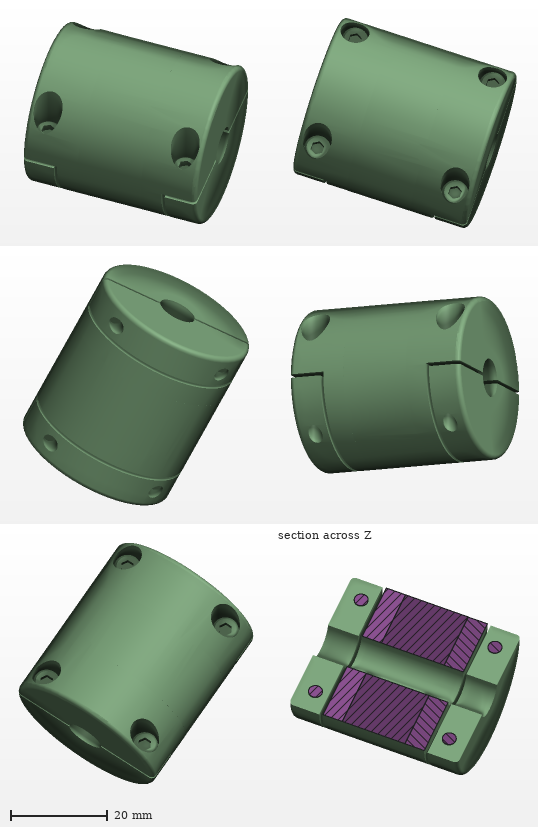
import cadquery as cq
import math


length = 38.0
outer_diameter = 34.0
outer_radius = outer_diameter / 2
bore_diameter = 8.0
bore_radius = bore_diameter / 2
rim_fillet = 1.0

sleeve_length = 14.0
half_sleeve = sleeve_length / 2
hub_length = (length - sleeve_length) / 2

lug_height = 1.82
lug_radius = 2.0
lug_root_radius = 1.25
lug_angles = (60, -60)

slit_width = 0.72
jaw_length = 6.85

screw_x = length / 2 - 3.95
screw_y = 12.25
shank_diameter = 3.0
counterbore_diameter = 6.0
counterbore_floor = 2.5
shank_length = 10.0
screw_end = counterbore_floor - shank_length
head_diameter = 5.5
head_height = 3.0
head_chamfer = 0.5
hex_across_flats = 2.5
hex_across_corners = hex_across_flats / math.cos(math.radians(30))
hex_depth = 1.5


def tube(start_x, tube_length):
    """A length of the outer cylinder with the bore through it."""
    return (
        cq.Workplane("YZ", origin=(start_x, 0, 0))
        .circle(outer_radius)
        .circle(bore_radius)
        .extrude(tube_length)
    )


def rounded_lug(angle):
    """A radial bar on the left hub's inner face, blended into it by concave arcs."""
    crest_centre = lug_height - lug_radius
    lean = math.acos((lug_root_radius - crest_centre) / (lug_radius + lug_root_radius))
    half_width = (lug_radius + lug_root_radius) * math.sin(lean)
    blend_height = crest_centre + lug_radius * math.cos(lean)
    blend_offset = lug_radius * math.sin(lean)
    root_mid_height = lug_root_radius * (1 - math.cos(lean / 2))
    root_mid_offset = half_width - lug_root_radius * math.sin(lean / 2)
    return (
        cq.Workplane("XY")
        .moveTo(0, -half_width)
        .threePointArc((root_mid_height, -root_mid_offset), (blend_height, -blend_offset))
        .threePointArc((lug_height, 0), (blend_height, blend_offset))
        .threePointArc((root_mid_height, root_mid_offset), (0, half_width))
        .close()
        .extrude(outer_diameter)
        .translate((-half_sleeve, 0, 0))
        .rotate((0, 0, 0), (1, 0, 0), angle - 90)
    )


def jaw_cut():
    """The slit across the hub and the cut that runs down from its inner end."""
    slit_length = jaw_length + slit_width
    slit = cq.Workplane("XY").box(slit_length, outer_diameter, slit_width, centered=(False, True, True))
    down_cut = (
        cq.Workplane("XY")
        .box(slit_width, outer_diameter, outer_diameter, centered=(False, True, False))
        .translate((jaw_length, 0, slit_width / 2 - outer_diameter))
    )
    return slit.union(down_cut).translate((-length / 2, 0, 0))


def screw_cylinder(y, diameter, bottom, top):
    """A vertical cylinder on the axis of a left hub screw."""
    return cq.Workplane("XY", origin=(-screw_x, y, bottom)).circle(diameter / 2).extrude(top - bottom)


def clamp_screw(y):
    """A socket head cap screw sitting on the counterbore floor."""
    head_top = counterbore_floor + head_height
    head = screw_cylinder(y, head_diameter, counterbore_floor, head_top)
    head = head.faces(">Z").edges().chamfer(head_chamfer)
    socket = (
        cq.Workplane("XY", origin=(-screw_x, y, head_top - hex_depth))
        .transformed(rotate=(0, 0, 90))
        .polygon(6, hex_across_corners)
        .extrude(hex_depth)
    )
    shank = screw_cylinder(y, shank_diameter, screw_end, counterbore_floor)
    return head.union(shank).cut(socket)


def make_left_hub():
    """The hub at the -X end, with its lugs, jaw and both screws."""
    block = cq.Workplane("YZ", origin=(-length / 2, 0, 0)).rect(length, length).extrude(hub_length)
    for angle in lug_angles:
        block = block.union(rounded_lug(angle))
    round_blank = tube(-length / 2, hub_length + 2 * lug_height)
    round_blank = round_blank.faces("<X").edges(cq.selectors.RadiusNthSelector(-1)).fillet(rim_fillet)
    hub = round_blank.intersect(block).cut(jaw_cut())
    for y in (-screw_y, screw_y):
        counterbore = screw_cylinder(y, counterbore_diameter, counterbore_floor, outer_radius)
        thread_hole = screw_cylinder(y, shank_diameter, -outer_radius, screw_end)
        hub = hub.cut(counterbore).cut(thread_hole).union(clamp_screw(y))
    return hub


def make_sleeve(hubs):
    """The sleeve, with recesses that match the hub lugs."""
    sleeve = tube(-half_sleeve, sleeve_length)
    for hub in hubs:
        sleeve = sleeve.cut(hub)
    return sleeve


hubs = [make_left_hub().rotate((0, 0, 0), (0, 0, 1), turn) for turn in (0, 180)]
sleeve = make_sleeve(hubs)

result = cq.Compound.makeCompound([*(hub.solids().val() for hub in hubs), sleeve.solids().val()])